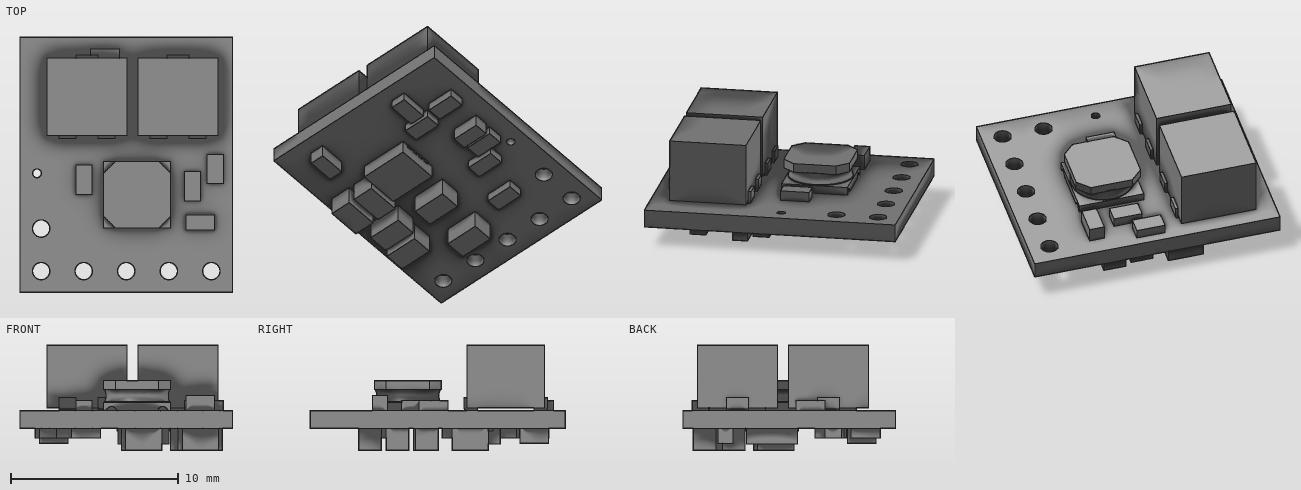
import cadquery as cq
import math

BOARD_X = 12.7
BOARD_Y = 15.24
BOARD_T = 1.06
PITCH = 2.54
PIN_HOLE_D = 1.02
PIN_ROW_COUNT = 5
PIN_ROW_Y = PITCH / 2 - BOARD_Y / 2
PIN_ROW_X = -PITCH * (PIN_ROW_COUNT - 1) / 2
SMALL_HOLE_D = 0.51
SMALL_HOLE_CENTER = (-5.33, -0.51)

FLAT_CHIP = (1.75, 0.97, 0.59)
THICK_CHIP = (1.72, 0.91, 0.9)
LARGE_CHIP = (2.17, 1.36, 1.32)

TOP_FLAT_ALONG_X = [(-1.27, 6.43)]
TOP_FLAT_ALONG_Y = [(-2.53, -0.9), (3.95, -1.28), (5.32, -0.25)]
TOP_THICK_ALONG_X = [(4.42, -3.45)]
UNDER_FLAT_ALONG_X = [(-2.4, -3.3), (-3.29, -0.51), (-4.3, 0.74), (-4.56, 4.54), (-2.4, 4.21)]
UNDER_FLAT_ALONG_Y = [(-2.63, 5.76)]
UNDER_THICK_ALONG_X = [(-4.33, 2.02)]
UNDER_THICK_ALONG_Y = [(3.8, 5.76)]
UNDER_LARGE_ALONG_X = [(1.04, -4.04), (0.8, -0.78), (4.43, -2.41), (4.19, -0.65)]
UNDER_LARGE_ALONG_Y = [(3.31, 1.94), (5.06, 1.94)]

IC_CENTER = (1.03, 2.42)
IC_X = 3.06
IC_Y = 2.63
IC_H = 0.95
IC_PIN_COUNT = 4
IC_PIN_PITCH = 0.49
IC_PIN_W = 0.31
IC_PIN_H = 0.17
IC_PIN_REACH = 0.05

CAP_X = 4.79
CAP_Y = 4.63
CAP_TOP = 3.9
CAP_GAP = 0.16
CAP_CENTERS = [(-2.34, 4.06), (3.09, 4.06)]
LEAD_T = 0.18
LEAD_H = 0.77
LEAD_FOOT = 0.64
LEAD_BEND_R = 0.17
BACK_LEAD_W = 1.33
FRONT_LEAD_W = 1.01
FRONT_LEAD_OFFSET = 1.165

COIL_SIDE = 4.0
COIL_CENTER = (0.65, -1.79)
COIL_BASE_H = 0.48
COIL_TOP = 1.79
COIL_CAP_T = 0.54
COIL_CAP_CHAMFER = 0.71
NECK_D = 3.9
NECK_LIP_H = 0.05
NECK_ARC_R = 1.5 / 2
NOTCH_R = 0.31
NOTCH_H = 0.24
NOTCH_DEPTH = 0.1
NOTCH_OFFSET = 1.53


def box(size_x, size_y, height, center, bottom):
    """Upright block, centred on a point in plan and standing at a given level."""
    block = cq.Workplane("XY").box(size_x, size_y, height, centered=(True, True, False))
    return block.translate((center[0], center[1], bottom))


def round_hole(diameter, center):
    """Cylinder that cuts a hole through the board."""
    return cq.Workplane("XY").center(*center).circle(diameter / 2).extrude(BOARD_T)


def chips(size, centers, along_x, on_top):
    """Equal chips lying on one face of the board."""
    length, width, height = size
    size_x, size_y = (length, width) if along_x else (width, length)
    bottom = BOARD_T if on_top else -height
    return [box(size_x, size_y, height, center, bottom) for center in centers]


def make_ic():
    """Flat package whose pins just show along both of its X sides."""
    parts = [box(IC_X, IC_Y, IC_H, IC_CENTER, -IC_H)]
    for i in range(IC_PIN_COUNT):
        pin_y = IC_CENTER[1] + (i - (IC_PIN_COUNT - 1) / 2) * IC_PIN_PITCH
        pin_center = (IC_CENTER[0], pin_y)
        parts.append(box(IC_X + 2 * IC_PIN_REACH, IC_PIN_W, IC_PIN_H, pin_center, -IC_PIN_H))
    return parts


def make_board():
    """Drilled board together with the chips soldered to both of its faces."""
    pin_holes = [(PIN_ROW_X + i * PITCH, PIN_ROW_Y) for i in range(PIN_ROW_COUNT)]
    pin_holes.append((PIN_ROW_X, PIN_ROW_Y + PITCH))
    board = box(BOARD_X, BOARD_Y, BOARD_T, (0, 0), 0)
    for center in pin_holes:
        board = board.cut(round_hole(PIN_HOLE_D, center))
    board = board.cut(round_hole(SMALL_HOLE_D, SMALL_HOLE_CENTER))
    parts = [
        *chips(FLAT_CHIP, TOP_FLAT_ALONG_X, True, True),
        *chips(FLAT_CHIP, TOP_FLAT_ALONG_Y, False, True),
        *chips(THICK_CHIP, TOP_THICK_ALONG_X, True, True),
        *chips(FLAT_CHIP, UNDER_FLAT_ALONG_X, True, False),
        *chips(FLAT_CHIP, UNDER_FLAT_ALONG_Y, False, False),
        *chips(THICK_CHIP, UNDER_THICK_ALONG_X, True, False),
        *chips(THICK_CHIP, UNDER_THICK_ALONG_Y, False, False),
        *chips(LARGE_CHIP, UNDER_LARGE_ALONG_X, True, False),
        *chips(LARGE_CHIP, UNDER_LARGE_ALONG_Y, False, False),
        *make_ic(),
    ]
    for part in parts:
        board = board.union(part)
    return board


def make_lead(width, offset_x, side):
    """L-shaped lead on the front (side -1) or back (side +1) of a capacitor at the origin."""
    wall = CAP_Y / 2
    lead = (
        cq.Workplane("YZ")
        .moveTo(wall - LEAD_FOOT, 0)
        .lineTo(wall + LEAD_T - LEAD_BEND_R, 0)
        .radiusArc((wall + LEAD_T, LEAD_BEND_R), -LEAD_BEND_R)
        .lineTo(wall + LEAD_T, LEAD_H)
        .lineTo(wall, LEAD_H)
        .lineTo(wall, CAP_GAP)
        .lineTo(wall - LEAD_FOOT, CAP_GAP)
        .close()
        .extrude(width / 2, both=True)
    )
    if side < 0:
        lead = lead.mirror("XZ")
    return lead.translate((offset_x, 0, 0))


def make_capacitor(center):
    """Block held just above the board by one lead at the back and two at the front."""
    capacitor = box(CAP_X, CAP_Y, CAP_TOP - CAP_GAP, (0, 0), CAP_GAP)
    capacitor = capacitor.union(make_lead(BACK_LEAD_W, 0, 1))
    for offset_x in (-FRONT_LEAD_OFFSET, FRONT_LEAD_OFFSET):
        capacitor = capacitor.union(make_lead(FRONT_LEAD_W, offset_x, -1))
    return capacitor.translate((center[0], center[1], BOARD_T))


def make_neck():
    """Round neck, with a hollow-arc side, from the inductor's base to its cap."""
    radius = NECK_D / 2
    arc_bottom = COIL_BASE_H + NECK_LIP_H
    arc_top = COIL_TOP - COIL_CAP_T
    half_chord = (arc_top - arc_bottom) / 2
    waist = radius - NECK_ARC_R + math.sqrt(NECK_ARC_R**2 - half_chord**2)
    return (
        cq.Workplane("XZ")
        .moveTo(0, COIL_BASE_H)
        .lineTo(radius, COIL_BASE_H)
        .lineTo(radius, arc_bottom)
        .threePointArc((waist, arc_bottom + half_chord), (radius, arc_top))
        .lineTo(0, arc_top)
        .close()
        .revolve(360, (0, 0, 0), (0, 1, 0))
    )


def make_inductor():
    """Square base with two arched notches in front, a waisted neck and a cap with cut corners."""
    inductor = box(COIL_SIDE, COIL_SIDE, COIL_BASE_H, (0, 0), 0)
    for offset_x in (-NOTCH_OFFSET, NOTCH_OFFSET):
        notch = (
            cq.Workplane("XZ", origin=(offset_x, -COIL_SIDE / 2, NOTCH_H - NOTCH_R))
            .circle(NOTCH_R)
            .extrude(-NOTCH_DEPTH)
        )
        inductor = inductor.cut(notch)
    top = box(COIL_SIDE, COIL_SIDE, COIL_CAP_T, (0, 0), COIL_TOP - COIL_CAP_T)
    top = top.edges("|Z").chamfer(COIL_CAP_CHAMFER)
    inductor = inductor.union(make_neck()).union(top)
    return inductor.translate((COIL_CENTER[0], COIL_CENTER[1], BOARD_T))


capacitors = [make_capacitor(center) for center in CAP_CENTERS]
inductor = make_inductor()

board = make_board()
for capacitor in capacitors:
    board = board.cut(capacitor)

result = cq.Compound.makeCompound(
    [
        board.solids().val(),
        inductor.solids().val(),
        *[capacitor.solids().val() for capacitor in capacitors],
    ]
)